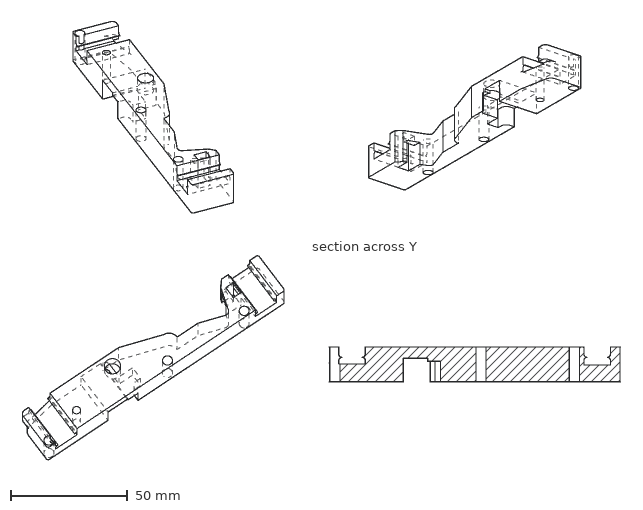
import cadquery as cq

length, width, height = 125.0, 20.0, 15.0
corner_radius = 1.0
back_left_radius = 2.0

back_slope = 0.33
slope_start_x = 51.6
shoulder_x = 70.9
shoulder_y = width - back_slope * (shoulder_x - slope_start_x)
shoulder_mid = (74.0, 12.0)
ledge_start_x, ledge_end_x, ledge_y = 74.9, 85.9, 9.4
valley_x = 99.4
valley_y = ledge_y - back_slope * (valley_x - ledge_end_x)
valley_radius = 1.9
bevel_bottom = (103.5, 17.5)
bevel_top_x = 105.8

slot_width = 11.2
slots = [(4.2, 7.6), (109.4, 7.2)]
ridge_z = 10.5
ridge_reach = 1.2
ridge_half_height = 1.1
ridge_flank_radius = 1.4

window_left, window_step, leg_x = 31.9, 42.2, 47.6
window_top, low_ceiling = 10.0, 8.8
leg_depth = 5.0
leg_radius = 2.8
pocket_end_x, pocket_back_y = 52.5, 10.9
back_wall_x = 45.4
flare_radius = 2.0

relief_top = 8.1
relief_y = 16.9
relief_run = 16.9
relief_radius = 3.2

through_holes = [(2.5, 2.5, 4.2), (20.2, 7.0, 3.4), (65.2, 3.0, 4.2), (105.2, 2.5, 4.2)]
large_hole = (44.5, 14.5, 7.0)

shaft_left, shaft_right = 105.0, 109.1
shaft_front, shaft_back = 10.1, 15.8
opening_left = 98.8
opening_top = 10.5


def box(x0, x1, y0, y1, z0, z1):
    """Block between two opposite corners."""
    return cq.Workplane().box(x1 - x0, y1 - y0, z1 - z0, centered=False).translate((x0, y0, z0))


def round_corner(solid, x, y, radius):
    """Fillet the vertical edge at (x, y)."""
    near = cq.selectors.BoxSelector((x - 0.1, y - 0.1, -1.2), (x + 0.1, y + 0.1, height + 1.2))
    return solid.edges("|Z").edges(near).fillet(radius)


def make_body():
    body = (
        cq.Workplane()
        .lineTo(length, 0)
        .lineTo(length, width)
        .lineTo(bevel_top_x, width)
        .lineTo(*bevel_bottom)
        .lineTo(valley_x, valley_y)
        .lineTo(ledge_end_x, ledge_y)
        .lineTo(ledge_start_x, ledge_y)
        .threePointArc(shoulder_mid, (shoulder_x, shoulder_y))
        .lineTo(slope_start_x, width)
        .lineTo(0, width)
        .close()
        .extrude(height)
    )
    for x, y in [(0, 0), (length, 0), (length, width)]:
        body = round_corner(body, x, y, corner_radius)
    body = round_corner(body, 0, width, back_left_radius)
    return round_corner(body, valley_x, valley_y, valley_radius)


def make_relief():
    """Sloping cut that leaves a rounded lower corner at the left end."""
    keep = (
        cq.Workplane()
        .lineTo(relief_run, 0)
        .lineTo(relief_run, width)
        .lineTo(0, relief_y)
        .close()
        .extrude(relief_top)
    )
    keep = round_corner(keep, 0, relief_y, relief_radius)
    return box(0, relief_run, relief_y - relief_radius, width, 0, relief_top).cut(keep)


def make_slot(left, floor):
    """Cross slot cutter, notched where the two ridges stay."""
    right = left + slot_width
    return (
        cq.Workplane("XZ")
        .moveTo(left, floor)
        .lineTo(right, floor)
        .lineTo(right, ridge_z - ridge_half_height)
        .radiusArc((right - ridge_reach, ridge_z), -ridge_flank_radius)
        .radiusArc((right, ridge_z + ridge_half_height), -ridge_flank_radius)
        .lineTo(right, height)
        .lineTo(left, height)
        .lineTo(left, ridge_z + ridge_half_height)
        .radiusArc((left + ridge_reach, ridge_z), -ridge_flank_radius)
        .radiusArc((left, ridge_z - ridge_half_height), -ridge_flank_radius)
        .close()
        .extrude(-width)
    )


def make_window():
    """Underside opening with a pocket behind the leg and a flared back wall."""
    tall = box(window_left, window_step, 0, width, 0, window_top)
    flare_y = width - flare_radius
    low = (
        cq.Workplane()
        .moveTo(window_left, 0)
        .lineTo(leg_x, 0)
        .lineTo(leg_x, leg_depth)
        .lineTo(pocket_end_x, leg_depth)
        .lineTo(pocket_end_x, pocket_back_y)
        .lineTo(back_wall_x, pocket_back_y)
        .lineTo(back_wall_x, flare_y)
        .radiusArc((back_wall_x - flare_radius, width), -flare_radius)
        .lineTo(window_left, width)
        .close()
        .extrude(low_ceiling)
    )
    return tall.union(round_corner(low, leg_x, leg_depth, leg_radius))


def make_hole(x, y, diameter, bottom=0.0):
    return cq.Workplane().circle(diameter / 2).extrude(height - bottom).translate((x, y, bottom))


result = make_body().cut(make_relief()).cut(make_window())
for slot_left, slot_floor in slots:
    result = result.cut(make_slot(slot_left, slot_floor))
for hole_x, hole_y, hole_diameter in through_holes:
    result = result.cut(make_hole(hole_x, hole_y, hole_diameter))
result = result.cut(make_hole(*large_hole, bottom=low_ceiling))
result = result.cut(box(shaft_left, shaft_right, shaft_front, shaft_back, 0, height))
result = result.cut(box(opening_left, shaft_left, shaft_front, shaft_back, 0, opening_top))